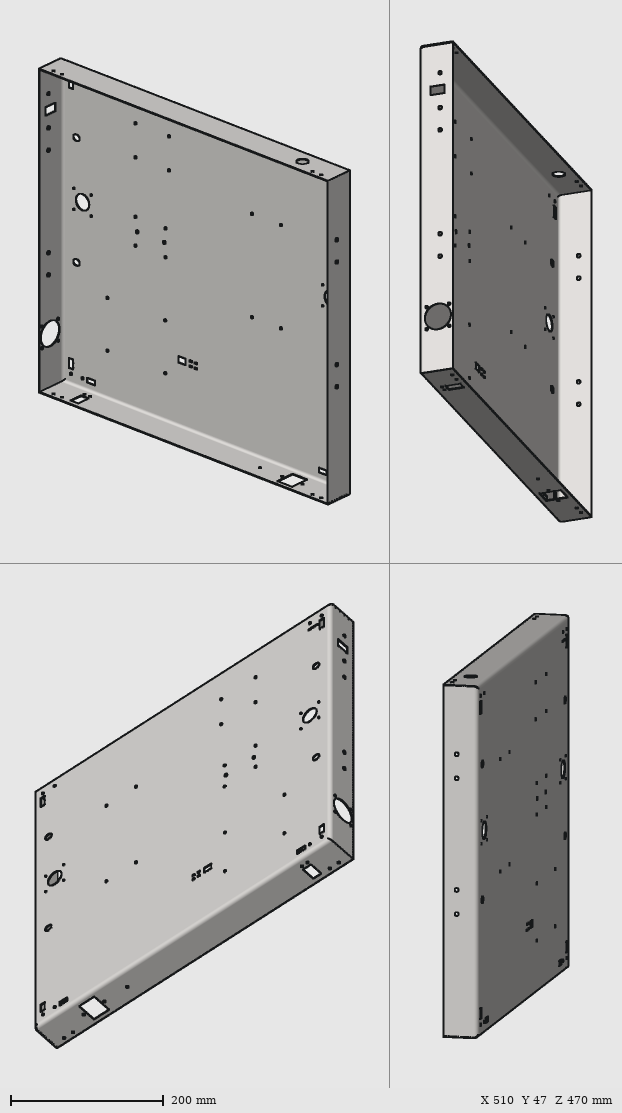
import cadquery as cq
WIDTH = 510.0
DEPTH = 47.0
HEIGHT = 470.0
SHEET = 1.5
BEND_RADIUS = 5.5

SCREW_HOLE = 3.5

PUNCH = 3 * SHEET


def tray():
    """Pan with bent edges around the back panel."""
    inside = (WIDTH - 2 * SHEET, DEPTH, HEIGHT - 2 * SHEET)
    outer = cq.Workplane("XY").box(WIDTH, DEPTH, HEIGHT).faces(">Y").edges().fillet(BEND_RADIUS)
    cavity = cq.Workplane("XY").box(*inside).faces(">Y").edges().fillet(BEND_RADIUS - SHEET)
    return outer.cut(cavity.translate((0, -SHEET, 0)))


def on_back(sketch):
    """Cutter for the back panel; sketch coordinates are (x, z)."""
    return sketch.extrude(PUNCH, both=True).rotate((0, 0, 0), (1, 0, 0), 90).translate((0, DEPTH / 2, 0))


def on_top(sketch):
    """Cutter for the top wall; sketch coordinates are (x, y)."""
    return sketch.extrude(PUNCH, both=True).translate((0, 0, HEIGHT / 2))


def on_bottom(sketch):
    """Cutter for the bottom wall; sketch coordinates are (x, y)."""
    return sketch.extrude(PUNCH, both=True).translate((0, 0, -HEIGHT / 2))


def on_side(sketch, side):
    """Cutter for the side wall at -X (side=-1) or +X (side=1); sketch coordinates are (y, z)."""
    turned = sketch.extrude(PUNCH, both=True).rotate((0, 0, 0), (1, 1, 1), 120)
    return turned.translate((side * WIDTH / 2, 0, 0))


def circles(points, diameter):
    """Sketch of equal circles at the given points."""
    return cq.Workplane("XY").pushPoints(points).circle(diameter / 2)


def rectangles(points, width, height):
    """Sketch of equal rectangles centered on the given points."""
    return cq.Workplane("XY").pushPoints(points).rect(width, height)


def grid(us, vs):
    """All combinations of the given first and second coordinates."""
    return [(u, v) for u in us for v in vs]


def square_around(center, half_pitch):
    """Four corners of a square pattern."""
    u, v = center
    return grid((u - half_pitch, u + half_pitch), (v - half_pitch, v + half_pitch))


def back_panel_mounting():
    """Mirrored wall-mount holes, hanging slots, oval holes and tie openings."""
    outer_x = 239.5
    inner_x = 219.5
    screw_z = 219.5
    slot_width = 7.5
    upper_slot_height = 17.0
    upper_slot_z = 203.5
    lower_slot_height = 14.5
    lower_slot_z = -204.5
    oval_x = 230.0
    oval_zs = (126.5, -54.5)
    oval_length = 11.0
    oval_width = 9.0
    opening_x = 204.5
    opening_z = -219.5
    opening_width = 14.0
    opening_height = 6.5

    both_outer = (-outer_x, outer_x)
    ovals = cq.Workplane("XY").pushPoints(grid((-oval_x, oval_x), oval_zs)).slot2D(oval_length, oval_width)
    return [
        on_back(circles(grid((-outer_x, -inner_x, inner_x, outer_x), (-screw_z, screw_z)), SCREW_HOLE)),
        on_back(rectangles(grid(both_outer, (upper_slot_z,)), slot_width, upper_slot_height)),
        on_back(rectangles(grid(both_outer, (lower_slot_z,)), slot_width, lower_slot_height)),
        on_back(ovals),
        on_back(rectangles(grid((-opening_x, opening_x), (opening_z,)), opening_width, opening_height)),
    ]


def motor_mounts():
    """Pilot bore with four screws on each side of the back panel."""
    motor_x = 219.5
    motor_z = 36.0
    pilot_diameter = 23.5
    screw_half_pitch = 15.5
    screw_diameter = 2.5
    cutters = []
    for center in ((-motor_x, motor_z), (motor_x, motor_z)):
        cutters.append(on_back(circles([center], pilot_diameter)))
        cutters.append(on_back(circles(square_around(center, screw_half_pitch), screw_diameter)))
    return cutters


def electronics_holes():
    """Standoff hole patterns in the back panel, a rectangle of holes per board and one larger pair."""
    patterns = [
        grid((-126.0, -67.0), (180.5, 131.0)),
        grid((-126.0, -73.0), (45.0, 3.0)),
        grid((-175.5, -73.5), (-88.5, -165.0)),
        grid((79.5, 130.5), (115.0, -35.0)),
    ]
    middle_pair = grid((-123.0, -75.0), (24.0,))
    middle_pair_diameter = 4.5
    cutters = [on_back(circles(points, SCREW_HOLE)) for points in patterns]
    cutters.append(on_back(circles(middle_pair, middle_pair_diameter)))
    return cutters


def cable_openings():
    """Thin slot by one hanging slot, and a cable window with four tie slots beside it."""
    thin_slot_center = (-225.0, 207.0)
    thin_slot_length = 16.5
    thin_slot_height = 1.5
    window_center = (-44.0, -137.5)
    window_width = 13.0
    window_height = 9.0
    tie_slot_centers = grid((-28.5, -19.5), (-133.5, -141.5))
    tie_slot_length = 4.0
    tie_slot_height = 2.0
    return [
        on_back(rectangles([thin_slot_center], thin_slot_length, thin_slot_height)),
        on_back(rectangles([window_center], window_width, window_height)),
        on_back(rectangles(tie_slot_centers, tie_slot_length, tie_slot_height)),
    ]


def flange_screw_holes():
    """Cover screw holes near both ends of the top and bottom walls."""
    screw_y = -16.0
    inner_x = 221.0
    outer_x = 236.0
    points = grid((-outer_x, -inner_x, inner_x, outer_x), (screw_y,))
    return [on_top(circles(points, SCREW_HOLE)), on_bottom(circles(points, SCREW_HOLE))]


def top_button():
    """Round opening for a push button in the top wall."""
    button_center = (190.5, -2.0)
    button_diameter = 17.0
    return [on_top(circles([button_center], button_diameter))]


def bottom_inlets():
    """Power inlet, connector opening and a single hole in the bottom wall."""
    inlet_x = 172.5
    inlet_y = -1.5
    inlet_width = 26.0
    inlet_depth = 30.0
    inlet_screw_offset = 18.0
    inlet_screws = grid((inlet_x - inlet_screw_offset, inlet_x + inlet_screw_offset), (inlet_y,))
    single_hole = (115.5, inlet_y)
    connector_center = (-199.5, -5.0)
    connector_width = 14.0
    connector_depth = 21.0
    connector_screws = grid((-205.0, -195.5), (10.5,))
    return [
        on_bottom(rectangles([(inlet_x, inlet_y)], inlet_width, inlet_depth)),
        on_bottom(circles(inlet_screws, SCREW_HOLE)),
        on_bottom(circles([single_hole], SCREW_HOLE)),
        on_bottom(rectangles([connector_center], connector_width, connector_depth)),
        on_bottom(circles(connector_screws, SCREW_HOLE)),
    ]


def side_wall_openings():
    """Holes through both side walls, plus a port and a fan opening in the -X wall only."""
    hole_y = -5.5
    side_holes = grid((hole_y,), (143.0, 110.5, -38.0, -70.5))
    side_hole_diameter = 5.0
    port_hole = (hole_y, 193.0)
    port_hole_diameter = 4.5
    port_center = (-2.0, 169.0)
    port_width = 19.5
    port_height = 12.0
    fan_center = (-2.5, -156.5)
    fan_diameter = 36.5
    fan_screw_half_pitch = 16.0
    return [
        on_side(circles(side_holes, side_hole_diameter), -1),
        on_side(circles(side_holes, side_hole_diameter), 1),
        on_side(circles([port_hole], port_hole_diameter), -1),
        on_side(rectangles([port_center], port_width, port_height), -1),
        on_side(circles([fan_center], fan_diameter), -1),
        on_side(circles(square_around(fan_center, fan_screw_half_pitch), SCREW_HOLE), -1),
    ]


cutters = (
    back_panel_mounting()
    + motor_mounts()
    + electronics_holes()
    + cable_openings()
    + flange_screw_holes()
    + top_button()
    + bottom_inlets()
    + side_wall_openings()
)

result = tray()
for cutter in cutters:
    result = result.cut(cutter)